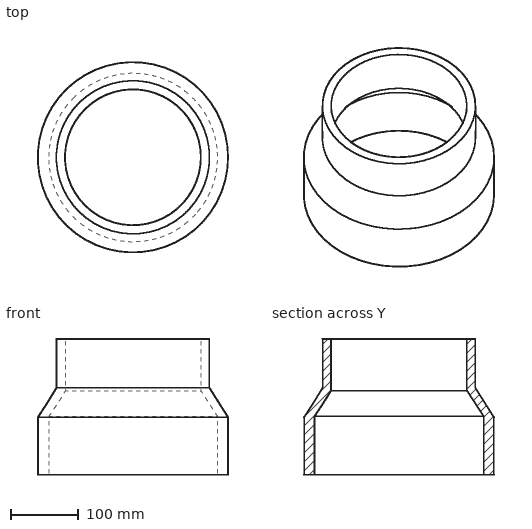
import cadquery as cq

height = 200.0

wide_radius = 140.0
wide_wall = 16.0
wide_length = 84.5

narrow_radius = 112.5
narrow_wall = 13.0
narrow_length = 72.0

narrow_bore_length = 76.2

wide_bore_length = 86.2

wide_bore_radius = wide_radius - wide_wall
narrow_bore_radius = narrow_radius - narrow_wall
cone_top = height - narrow_length
bore_cone_top = height - narrow_bore_length

half_section = (
    cq.Workplane("XZ")
    .moveTo(wide_bore_radius, 0)
    .lineTo(wide_radius, 0)
    .lineTo(wide_radius, wide_length)
    .lineTo(narrow_radius, cone_top)
    .lineTo(narrow_radius, height)
    .lineTo(narrow_bore_radius, height)
    .lineTo(narrow_bore_radius, bore_cone_top)
    .lineTo(wide_bore_radius, wide_bore_length)
    .close()
)

result = half_section.revolve(360, (0, 0, 0), (0, 1, 0))